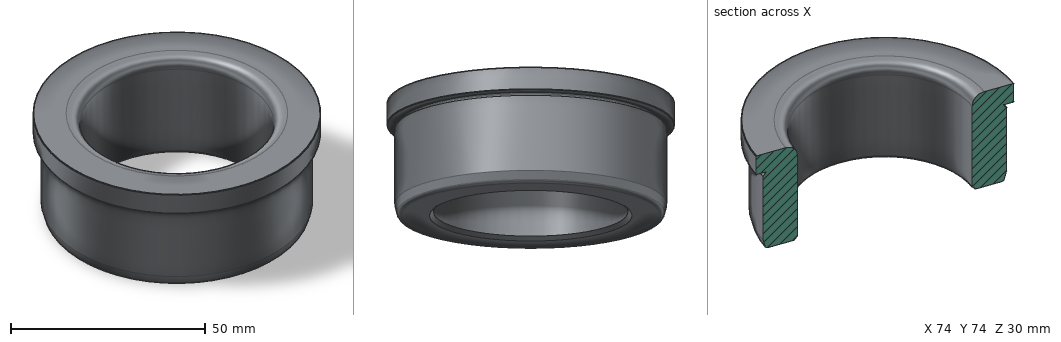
import cadquery as cq
import math

flange_radius = 74 / 2
body_radius = 70.0 / 2
bore_radius = 50.0 / 2
total_height = 30.0

flange_height = 6.0
flange_chamfer = 0.185
groove_height = 1.0
groove_slope_size = 0.5
groove_upper_inset = 0.4

taper_height = 3.0
taper_angle = 15
bottom_fillet = 1.0
bore_chamfer = 1.0
mouth_fillet = 3.5

flange_bottom = total_height - flange_height
groove_bottom = flange_bottom - groove_height
slope_top = groove_bottom + groove_slope_size
slope_top_radius = body_radius - groove_slope_size
groove_radius = slope_top_radius - groove_upper_inset
taper_end_radius = body_radius - taper_height * math.tan(math.radians(taper_angle))

section = (
    cq.Workplane("XZ")
    .moveTo(bore_radius + bore_chamfer, 0)
    .lineTo(taper_end_radius, 0)
    .lineTo(body_radius, taper_height)
    .lineTo(body_radius, groove_bottom)
    .lineTo(slope_top_radius, slope_top)
    .lineTo(groove_radius, flange_bottom)
    .lineTo(flange_radius - flange_chamfer, flange_bottom)
    .lineTo(flange_radius, flange_bottom + flange_chamfer)
    .lineTo(flange_radius, total_height - flange_chamfer)
    .lineTo(flange_radius - flange_chamfer, total_height)
    .lineTo(bore_radius, total_height)
    .lineTo(bore_radius, bore_chamfer)
    .close()
)
bushing = section.revolve(360, (0, 0, 0), (0, 1, 0))

bushing = bushing.faces("<Z").edges(cq.selectors.RadiusNthSelector(1)).fillet(bottom_fillet)
result = bushing.faces(">Z").edges(cq.selectors.RadiusNthSelector(0)).fillet(mouth_fillet)